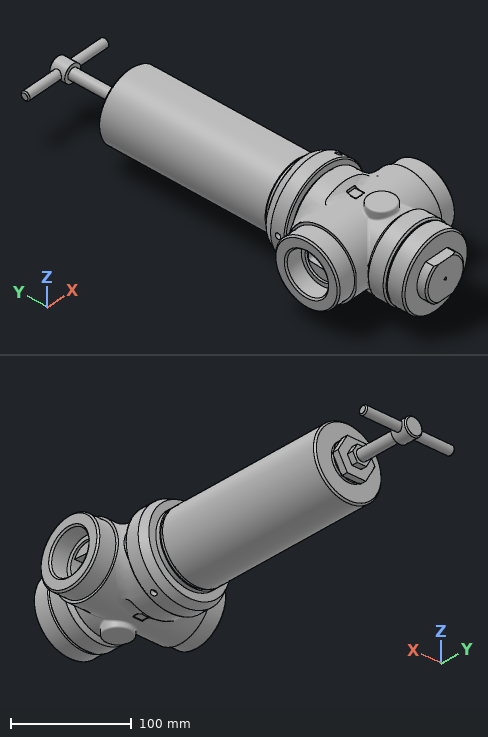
import cadquery as cq
import math


PORT_SPAN = 145.0
PORT_RADIUS = 36.0
PORT_CHAMFER = 1.7
BARREL_LENGTH = 105.5
BARREL_RADIUS = 38.5
BARREL_FLAT_OFFSET = 37.5
SHOULDER_RADIUS = 44.5
SHOULDER_TOP = 41.5
CONE_START = 22.5
CONE_END = 8.5
CONE_END_RADIUS = 35.5
SHOULDER_BLEND = 12.0
SPIGOT_RADIUS = 41.5
SPIGOT_TOP = 56.5
LOWER_NECK_RADIUS = 37.5
LOWER_NECK_BLEND = 2.5
FLANGE_RADIUS = 41.5
FLANGE_START = -37.2
FLANGE_END = -59.5
FLANGE_BEVEL = 4.0
EDGE_BEVEL = 1.7
BOSS_RADIUS = 14.7
BOSS_Y = -18.5
BOSS_HEIGHT = 44.5
BOSS_FILLET = 1.7
NOTCH_WIDTH = 10.5
NOTCH_START = 5.0
NOTCH_END = 16.0
NOTCH_FLOOR = 37.2

THREAD_RADIUS = 23.0
THREAD_DEPTH = 19.0
THREAD_CHAMFER = 1.7
SEAT_RADIUS = 18.5
SEAT_DEPTH = 2.5
SLOT_UPPER_END = 17.5
SLOT_UPPER_HALF_WIDTH = 6.5
SLOT_LOWER_HALF_WIDTH = 8.5
SLOT_FILLET = 2.5

PLUG_RADIUS = 40.3
PLUG_END = -79.2
PLUG_GRIP_END = -89.5
PLUG_GRIP_RADIUS = 24.0
PLUG_GRIP_FLATS = 40.0
PLUG_GRIP_BEVEL = 2.0
PLUG_GRIP_BEVEL_HEIGHT = 1.5
CENTRE_MARK_RADIUS = 1.5
CENTRE_MARK_DEPTH = 1.5

NUT_RADIUS = 100.0 / 2
NUT_BOTTOM = 44.0
NUT_CONE_START = 60.0
NUT_TOP = 69.0
NUT_TOP_RADIUS = 46.0
NUT_BEVEL = 1.5
SPANNER_HOLE_RADIUS = 3.0
SPANNER_HOLE_DEPTH = 5.0
SPANNER_HOLE_Y = 52.0
SPANNER_HOLE_ANGLES = (30, 150, 270)

BONNET_RADIUS = 38.0
BONNET_TOP = 263.3
BONNET_GROOVE_RADIUS = 37.0
BONNET_GROOVE_START = 73.5
BONNET_GROOVE_END = 77.0
COLLAR_RADIUS = 19.5
COLLAR_TOP = 266.0
BONNET_HEX_FLATS = 36.0
BONNET_HEX_TOP = 273.0

LOCK_NUT_FLATS = 17.8
LOCK_NUT_TOP = 279.5
SPINDLE_RADIUS = 6.0
HEAD_RADIUS = 10.0
HEAD_BOTTOM = 325.5
HEAD_TOP = PLUG_GRIP_END + 433
HEAD_BEVEL = 1.5
BAR_RADIUS = 10.0 / 2
BAR_LENGTH = 100.0
BAR_BEVEL = 1.5
BAR_Y = 334.3


def y_rod(radius, start, end, x=0, z=0):
    """Cylinder along Y between two Y positions."""
    base = cq.Workplane("XZ", origin=(x, start, z))
    return base.circle(radius).extrude(start - end)


def x_rod(radius, start, end, y=0):
    """Cylinder along X between two X positions."""
    return cq.Workplane("YZ", origin=(start, y, 0)).circle(radius).extrude(end - start)


def y_turned(profile):
    """Solid turned about Y from (radius, y) points; both ends close on the axis."""
    points = [(0, profile[0][1]), *profile, (0, profile[-1][1])]
    return cq.Workplane("XY").polyline(points).close().revolve(360, (0, 0, 0), (0, 1, 0))


def y_hex(flats, start, end):
    """Hexagonal prism along Y with two corners pointing along X."""
    corner_diameter = flats / math.cos(math.pi / 6)
    return cq.Workplane("XZ", origin=(0, start, 0)).polygon(6, corner_diameter).extrude(start - end)


def flow_passage():
    cutter = None
    for side in (-1, 1):
        face = side * PORT_SPAN / 2
        thread_end = face - side * THREAD_DEPTH
        seat_end = thread_end - side * SEAT_DEPTH
        mouth = (
            cq.Workplane("YZ", origin=(face, 0, 0))
            .circle(THREAD_RADIUS + THREAD_CHAMFER)
            .workplane(offset=-side * THREAD_CHAMFER)
            .circle(THREAD_RADIUS)
            .loft(ruled=True)
        )
        bore = mouth.union(x_rod(THREAD_RADIUS, face, thread_end)).union(x_rod(SEAT_RADIUS, face, seat_end))
        cutter = bore if cutter is None else cutter.union(bore)

    slot_outline = [
        (SLOT_UPPER_END, SLOT_UPPER_HALF_WIDTH),
        (-SEAT_RADIUS, SLOT_LOWER_HALF_WIDTH),
        (-SEAT_RADIUS, -SLOT_LOWER_HALF_WIDTH),
        (SLOT_UPPER_END, -SLOT_UPPER_HALF_WIDTH),
    ]
    slot = cq.Workplane("YZ").polyline(slot_outline).close().extrude(BARREL_LENGTH / 2, both=True)
    slot = slot.edges("|X and >Y").fillet(SLOT_FILLET)
    slot = slot.intersect(x_rod(SEAT_RADIUS, -BARREL_LENGTH / 2, BARREL_LENGTH / 2))
    return cutter.union(slot)


def blend_notches():
    """Flat-bottomed rectangular notches across the shoulder blend, above and below."""
    length = NOTCH_END - NOTCH_START
    cutter = (
        cq.Workplane("XY", origin=(0, NOTCH_START + length / 2, NOTCH_FLOOR))
        .rect(NOTCH_WIDTH, length)
        .extrude(SHOULDER_RADIUS - NOTCH_FLOOR)
    )
    return cutter.union(cutter.mirror("XY"))


def make_body():
    """Cross-shaped housing: port barrel, upper shoulder, lower neck and two side bosses."""
    shoulder_overlength = SHOULDER_TOP + 2 * SHOULDER_BLEND
    barrel = x_rod(BARREL_RADIUS, -PORT_SPAN / 2, PORT_SPAN / 2)
    shoulder = y_turned(
        [
            (CONE_END_RADIUS, 0),
            (CONE_END_RADIUS, CONE_END),
            (SHOULDER_RADIUS, CONE_START),
            (SHOULDER_RADIUS, shoulder_overlength),
        ]
    )
    neck = y_rod(LOWER_NECK_RADIUS, FLANGE_END, 0)
    upper = barrel.union(shoulder).clean().edges("%BSPLINE").fillet(SHOULDER_BLEND)
    lower = barrel.union(neck).clean().edges("%BSPLINE").fillet(LOWER_NECK_BLEND)
    body = upper.union(lower)

    trim_height = SHOULDER_TOP + BARREL_FLAT_OFFSET
    trim_centre = (SHOULDER_TOP - BARREL_FLAT_OFFSET) / 2
    trim = cq.Workplane("XY", origin=(0, trim_centre, 0)).box(BARREL_LENGTH, trim_height, 3 * SHOULDER_RADIUS)
    body = body.intersect(trim)

    ports = x_rod(PORT_RADIUS, -PORT_SPAN / 2, PORT_SPAN / 2).faces("<X or >X").chamfer(PORT_CHAMFER)
    flange = y_turned(
        [
            (LOWER_NECK_RADIUS, 0),
            (LOWER_NECK_RADIUS, FLANGE_START),
            (FLANGE_RADIUS, FLANGE_START - FLANGE_BEVEL),
            (FLANGE_RADIUS, FLANGE_END + EDGE_BEVEL),
            (FLANGE_RADIUS - EDGE_BEVEL, FLANGE_END),
        ]
    )
    bosses = cq.Workplane("XY").center(0, BOSS_Y).circle(BOSS_RADIUS).extrude(BOSS_HEIGHT, both=True)
    bosses = bosses.faces("<Z or >Z").edges().fillet(BOSS_FILLET)
    spigot = y_rod(SPIGOT_RADIUS, SHOULDER_TOP, SPIGOT_TOP)
    for addition in (ports, flange, bosses, spigot):
        body = body.union(addition)
    boss_zone = cq.selectors.BoxSelector((-17.5, -34.5, -52), (17.5, -2.0, 52), True)
    body = body.edges(boss_zone).edges("%BSPLINE").fillet(BOSS_FILLET)
    return body.cut(blend_notches()).cut(flow_passage())


def make_plug():
    """Round screw plug with a two-flat spigot and a centre mark."""
    head = y_turned(
        [
            (PLUG_RADIUS - EDGE_BEVEL, FLANGE_END),
            (PLUG_RADIUS, FLANGE_END - EDGE_BEVEL),
            (PLUG_RADIUS, PLUG_END + EDGE_BEVEL),
            (PLUG_RADIUS - EDGE_BEVEL, PLUG_END),
        ]
    )
    grip = y_turned(
        [
            (PLUG_GRIP_RADIUS, PLUG_END),
            (PLUG_GRIP_RADIUS, PLUG_GRIP_END + PLUG_GRIP_BEVEL_HEIGHT),
            (PLUG_GRIP_RADIUS - PLUG_GRIP_BEVEL, PLUG_GRIP_END),
        ]
    )
    grip_length = 2 * (PLUG_END - PLUG_GRIP_END)
    flats = cq.Workplane("XY", origin=(0, PLUG_END, 0)).box(2 * PLUG_GRIP_RADIUS, grip_length, PLUG_GRIP_FLATS)
    mark = y_rod(CENTRE_MARK_RADIUS, PLUG_GRIP_END, PLUG_GRIP_END + CENTRE_MARK_DEPTH)
    return head.union(grip.intersect(flats)).cut(mark)


def make_union_nut():
    """Ring around the body spigot and the bonnet foot, with radial spanner holes."""
    nut = y_turned(
        [
            (NUT_RADIUS - NUT_BEVEL, NUT_BOTTOM),
            (NUT_RADIUS, NUT_BOTTOM + NUT_BEVEL),
            (NUT_RADIUS, NUT_CONE_START),
            (NUT_TOP_RADIUS, NUT_TOP),
        ]
    )
    nut = nut.cut(y_rod(SPIGOT_RADIUS, NUT_BOTTOM, SPIGOT_TOP))
    nut = nut.cut(y_rod(BONNET_RADIUS, SPIGOT_TOP, NUT_TOP))
    for angle in SPANNER_HOLE_ANGLES:
        hole = (
            cq.Workplane("XY", origin=(0, SPANNER_HOLE_Y, NUT_RADIUS - SPANNER_HOLE_DEPTH))
            .circle(SPANNER_HOLE_RADIUS)
            .extrude(2 * SPANNER_HOLE_DEPTH)
        )
        nut = nut.cut(hole.rotate((0, 0, 0), (0, 1, 0), angle))
    return nut


def make_bonnet():
    """Long spring bonnet with a collar and hexagon on top, bored for the spindle."""
    barrel = y_turned(
        [
            (BONNET_RADIUS, SPIGOT_TOP),
            (BONNET_RADIUS, BONNET_GROOVE_START),
            (BONNET_GROOVE_RADIUS, BONNET_GROOVE_START),
            (BONNET_GROOVE_RADIUS, BONNET_GROOVE_END),
            (BONNET_RADIUS, BONNET_GROOVE_END),
            (BONNET_RADIUS, BONNET_TOP - EDGE_BEVEL),
            (BONNET_RADIUS - EDGE_BEVEL, BONNET_TOP),
        ]
    )
    collar = y_rod(COLLAR_RADIUS, BONNET_TOP, COLLAR_TOP)
    hexagon = y_hex(BONNET_HEX_FLATS, COLLAR_TOP, BONNET_HEX_TOP)
    bore = y_rod(SPINDLE_RADIUS, BONNET_TOP, BONNET_HEX_TOP)
    return barrel.union(collar).union(hexagon).cut(bore)


def make_lock_nut():
    nut = y_hex(LOCK_NUT_FLATS, BONNET_HEX_TOP, LOCK_NUT_TOP)
    return nut.cut(y_rod(SPINDLE_RADIUS, BONNET_HEX_TOP, LOCK_NUT_TOP))


def make_spindle():
    """Adjusting spindle whose head is cross-drilled for the tommy bar."""
    shank = y_rod(SPINDLE_RADIUS, BONNET_TOP, HEAD_BOTTOM)
    head = y_rod(HEAD_RADIUS, HEAD_BOTTOM, HEAD_TOP).faces(">Y").chamfer(HEAD_BEVEL)
    cross_hole = x_rod(BAR_RADIUS, -HEAD_RADIUS, HEAD_RADIUS, y=BAR_Y)
    return shank.union(head).cut(cross_hole)


def make_tommy_bar():
    bar = x_rod(BAR_RADIUS, -BAR_LENGTH / 2, BAR_LENGTH / 2, y=BAR_Y)
    return bar.faces("<X or >X").chamfer(BAR_BEVEL)


body = make_body()
plug = make_plug()
union_nut = make_union_nut()
bonnet = make_bonnet()
lock_nut = make_lock_nut()
spindle = make_spindle()
tommy_bar = make_tommy_bar()

result = cq.Compound.makeCompound(
    [
        body.val(),
        plug.val(),
        union_nut.val(),
        bonnet.val(),
        lock_nut.val(),
        spindle.val(),
        tommy_bar.val(),
    ]
)